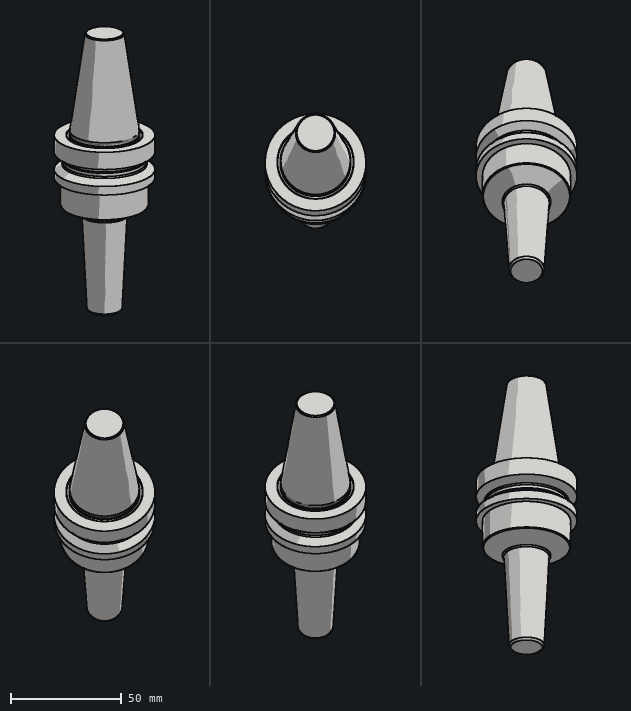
import cadquery as cq
import math


total_length = 134.4
nose_chamfer_height = 1.1
nose_top = 46.1
shoulder_cone_bottom = 46.8
body_chamfer_bottom = 50.8
lower_flange_bottom = 64.2
lower_flange_top = 68.4
groove_bottom = 71.2
groove_top = 73.8
upper_flange_bottom = groove_top + groove_bottom - lower_flange_top
flange_face = 85.0
neck_top = 86.2
taper_bottom = 87.0

flange_radius = 23.0
groove_radius = 19.0
body_radius = 20.0
nose_end_radius = 8.0
nose_top_radius = 10.3
shoulder_cone_radius = 11.0
neck_radius = 15.7
relief_inner_radius = 16.1
relief_outer_radius = 17.2
taper_large_radius = 15.9
taper_small_radius = 9.0

nose_chamfer = 0.8
body_chamfer = 0.4
tip_chamfer = 0.5
groove_fillet = 1.0
relief_depth = 0.3
neck_flare_height = 0.4

wall_angle = math.atan2(flange_radius - groove_radius, groove_bottom - lower_flange_top)
fillet_length = groove_fillet * math.tan(wall_angle / 2)
fillet_wall_radius = groove_radius + fillet_length * math.sin(wall_angle)
fillet_wall_height = fillet_length * math.cos(wall_angle)

relief_floor = flange_face - relief_depth


def holder_outline():
    """Half section in the XZ plane, from the nose end up to the taper tip."""
    return (
        cq.Workplane("XZ")
        .moveTo(0, 0)
        .lineTo(nose_end_radius - nose_chamfer, 0)
        .lineTo(nose_end_radius, nose_chamfer_height)
        .lineTo(nose_top_radius, nose_top)
        .lineTo(shoulder_cone_radius, shoulder_cone_bottom)
        .lineTo(body_radius - body_chamfer, body_chamfer_bottom)
        .lineTo(body_radius, body_chamfer_bottom + body_chamfer)
        .lineTo(body_radius, lower_flange_bottom)
        .lineTo(flange_radius, lower_flange_bottom)
        .lineTo(flange_radius, lower_flange_top)
        .lineTo(fillet_wall_radius, groove_bottom - fillet_wall_height)
        .radiusArc((groove_radius, groove_bottom + fillet_length), -groove_fillet)
        .lineTo(groove_radius, groove_top - fillet_length)
        .radiusArc((fillet_wall_radius, groove_top + fillet_wall_height), -groove_fillet)
        .lineTo(flange_radius, upper_flange_bottom)
        .lineTo(flange_radius, flange_face)
        .lineTo(relief_outer_radius + relief_depth, flange_face)
        .lineTo(relief_outer_radius, relief_floor)
        .lineTo(relief_inner_radius, relief_floor)
        .lineTo(neck_radius, relief_floor + neck_flare_height)
        .lineTo(neck_radius, neck_top)
        .lineTo(taper_large_radius, taper_bottom)
        .lineTo(taper_small_radius, total_length - tip_chamfer)
        .lineTo(taper_small_radius - tip_chamfer, total_length)
        .lineTo(0, total_length)
        .close()
    )


result = holder_outline().revolve(360, (0, 0, 0), (0, 1, 0))